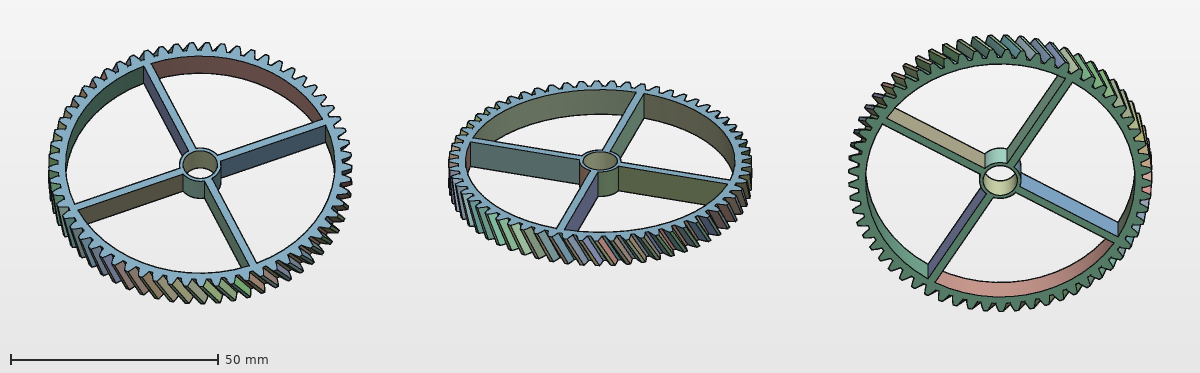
import cadquery as cq
import math

outer_diameter = 73.1
face_width = 7.0
tooth_count = 61
helix_angle = 30.0
normal_pressure_angle = 20.0

rim_inner_diameter = 65.0
spoke_width = 2.0
hub_diameter = 10.0
bore_diameter = 8.3

helix = math.radians(helix_angle)
normal_module = outer_diameter / (tooth_count / math.cos(helix) + 2)
outer_radius = outer_diameter / 2
pitch_radius = outer_radius - normal_module
root_radius = pitch_radius - 1.25 * normal_module

face_pressure_angle = math.atan(math.tan(math.radians(normal_pressure_angle)) / math.cos(helix))
base_radius = pitch_radius * math.cos(face_pressure_angle)

pitch_angle = 360 / tooth_count
first_tooth_angle = pitch_angle / 4
twist = -math.degrees(face_width * math.tan(helix) / pitch_radius)


def involute_angle(radius):
    """Angle in degrees swept by the flank's involute from the base circle out to a radius."""
    roll = math.acos(base_radius / radius)
    return math.degrees(math.tan(roll) - roll)


def half_tooth_angle(radius):
    """Half of the tooth's angular thickness at a radius."""
    at_pitch = pitch_angle / 4
    return at_pitch + involute_angle(pitch_radius) - involute_angle(radius)


def polar(radius, angle):
    """Point at a radius and an angle in degrees from +X."""
    return (radius * math.cos(math.radians(angle)), radius * math.sin(math.radians(angle)))


def gear_profile():
    """Closed outline of the toothed rim on the bottom face."""
    root_half = half_tooth_angle(root_radius)
    pitch_half = half_tooth_angle(pitch_radius)
    tip_half = half_tooth_angle(outer_radius)
    outline = cq.Workplane("XY").moveTo(*polar(root_radius, first_tooth_angle - root_half))
    for tooth in range(tooth_count):
        centre = first_tooth_angle + tooth * pitch_angle
        outline = (
            outline
            .threePointArc(polar(pitch_radius, centre - pitch_half), polar(outer_radius, centre - tip_half))
            .threePointArc(polar(outer_radius, centre), polar(outer_radius, centre + tip_half))
            .threePointArc(polar(pitch_radius, centre + pitch_half), polar(root_radius, centre + root_half))
            .threePointArc(
                polar(root_radius, centre + pitch_angle / 2),
                polar(root_radius, centre + pitch_angle - root_half),
            )
        )
    return outline.close()


def toothed_rim():
    blank = gear_profile().twistExtrude(face_width, twist)
    opening = cq.Workplane("XY").circle(rim_inner_diameter / 2).extrude(face_width)
    return blank.cut(opening)


def spokes_and_hub():
    spoke_length = rim_inner_diameter / 2 + root_radius
    along_x = cq.Workplane("XY").rect(spoke_length, spoke_width).extrude(face_width)
    along_y = cq.Workplane("XY").rect(spoke_width, spoke_length).extrude(face_width)
    hub = cq.Workplane("XY").circle(hub_diameter / 2).extrude(face_width)
    bore = cq.Workplane("XY").circle(bore_diameter / 2).extrude(face_width)
    return hub.union(along_x).union(along_y).cut(bore)


result = toothed_rim().union(spokes_and_hub())